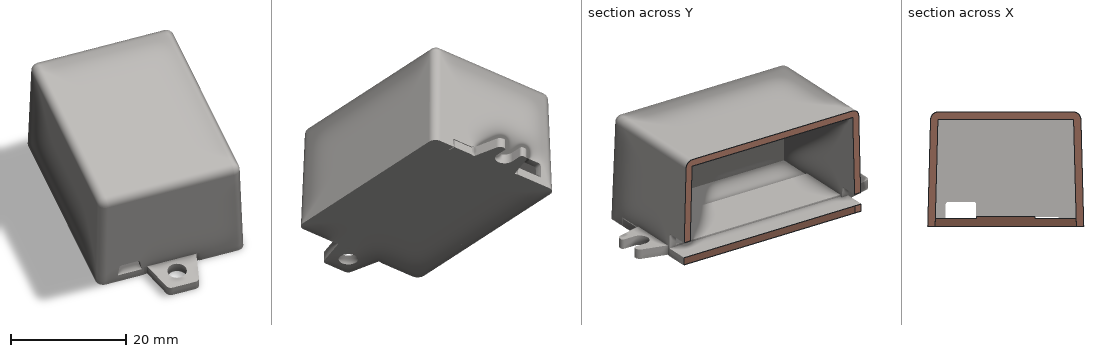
import cadquery as cq
import math

TOTAL_LENGTH = 49.0
HOUSING_WIDTH = 27.2
HOUSING_HEIGHT = 20.0
SLOT_EAR_REACH = 5.25
HOLE_EAR_REACH = 6.25
HOUSING_LENGTH = TOTAL_LENGTH - SLOT_EAR_REACH - HOLE_EAR_REACH

DRAFT_ANGLE = 1.5
EDGE_RADIUS = 1.4
WALL = 1.35

PLATE_THICKNESS = 1.45
EAR_THICKNESS = 1.8
STRIP_WIDTH = 10.2
STRIP_RECESS = 0.1
EAR_ROOT_WIDTH = 9.0
EAR_TAPER_ANGLE = 15.0
EAR_CORNER_RADIUS = 1.0
SCREW_DIAMETER = 3.4
SLOT_CENTRE_SETBACK = 2.55
SLOT_LIP_RADIUS = 0.5
HOLE_CENTRE_SETBACK = 3.6

WINDOW_WIDTH = 5.3
WINDOW_TOP = 4.25
WINDOW_RADIUS = 0.4
TAB_OUTER_Y = 9.05
TAB_CLEARANCE = 0.15

SMALL_WINDOW_SILL_WIDTH = 4.4
SMALL_WINDOW_TOP_WIDTH = 3.7
SMALL_WINDOW_TOP = 3.68
SMALL_WINDOW_RADIUS = 0.5

HALF_LENGTH = HOUSING_LENGTH / 2
HALF_STRIP = STRIP_WIDTH / 2
WINDOW_CENTRE_Y = -(STRIP_WIDTH + WINDOW_WIDTH) / 2
WINDOW_FAR_Y = WINDOW_CENTRE_Y - WINDOW_WIDTH / 2
CUT_DEPTH = 2 * WALL


def block(x_range, y_range, height):
    """Box standing on the bottom plane between two X and two Y positions."""
    length = x_range[1] - x_range[0]
    width = y_range[1] - y_range[0]
    centre = (sum(x_range) / 2, sum(y_range) / 2)
    return cq.Workplane("XY").center(*centre).rect(length, width).extrude(height)


def drafted_block(inset, height):
    """Drafted block whose foot is inset from the foot of the housing."""
    return (
        cq.Workplane("XY")
        .rect(HOUSING_LENGTH - 2 * inset, HOUSING_WIDTH - 2 * inset)
        .extrude(height, taper=DRAFT_ANGLE)
    )


def make_envelope():
    """Outer shape of the housing, rounded on all edges but the foot."""
    return drafted_block(0, HOUSING_HEIGHT).edges("not <Z").fillet(EDGE_RADIUS)


def wall_window(side, sill_width, top_width, top, radius):
    """Cutter for a window through one end wall, with its sill level with the top of the plate."""
    half_sill = sill_width / 2
    half_top = top_width / 2
    start = -HALF_LENGTH if side < 0 else HALF_LENGTH - CUT_DEPTH
    upper = (
        cq.Workplane("YZ", origin=(start, WINDOW_CENTRE_Y, 0))
        .polyline([
            (-half_sill, PLATE_THICKNESS),
            (half_sill, PLATE_THICKNESS),
            (half_top, top),
            (-half_top, top),
        ])
        .close()
        .extrude(CUT_DEPTH)
    )
    return upper.edges(">Z and |X").fillet(radius)


def make_tabs():
    """Tabs of the plate that fill the foot of the -X wall on both sides of the ear."""
    x_range = (-HALF_LENGTH, -HALF_LENGTH + CUT_DEPTH)
    tabs = block(x_range, (HALF_STRIP, TAB_OUTER_Y), PLATE_THICKNESS)
    return tabs.union(block(x_range, (WINDOW_FAR_Y, -HALF_STRIP), PLATE_THICKNESS))


def make_ear(side, reach):
    """Tapered ear on one end, from the end of the strip to its rounded tip."""
    slope = math.tan(math.radians(EAR_TAPER_ANGLE))
    root_x = side * (HALF_LENGTH - STRIP_RECESS)
    tip_x = side * (HALF_LENGTH + reach)
    half_root = EAR_ROOT_WIDTH / 2 + STRIP_RECESS * slope
    half_tip = EAR_ROOT_WIDTH / 2 - reach * slope
    ear = (
        cq.Workplane("XY")
        .polyline([(root_x, -half_root), (tip_x, -half_tip), (tip_x, half_tip), (root_x, half_root)])
        .close()
        .extrude(EAR_THICKNESS)
    )
    tip = ">X" if side > 0 else "<X"
    return ear.edges(f"|Z and {tip}").fillet(EAR_CORNER_RADIUS)


def make_slotted_ear():
    """Ear with a round-ended slot open at its tip."""
    tip_x = -HALF_LENGTH - SLOT_EAR_REACH
    centre_x = tip_x + SLOT_CENTRE_SETBACK
    ear = make_ear(-1, SLOT_EAR_REACH)
    half_slot = SCREW_DIAMETER / 2
    slot = block((tip_x, centre_x), (-half_slot, half_slot), EAR_THICKNESS)
    slot = slot.union(cq.Workplane("XY").center(centre_x, 0).circle(half_slot).extrude(EAR_THICKNESS))
    lips = cq.selectors.BoxSelector(
        (tip_x - SLOT_LIP_RADIUS, -half_slot - SLOT_LIP_RADIUS, 0),
        (tip_x + SLOT_LIP_RADIUS, half_slot + SLOT_LIP_RADIUS, EAR_THICKNESS),
    )
    return ear.cut(slot).edges("|Z").edges(lips).fillet(SLOT_LIP_RADIUS)


def make_drilled_ear():
    """Ear with a round screw hole."""
    centre_x = HALF_LENGTH + HOLE_EAR_REACH - HOLE_CENTRE_SETBACK
    hole = cq.Workplane("XY").center(centre_x, 0).circle(SCREW_DIAMETER / 2).extrude(EAR_THICKNESS)
    return make_ear(1, HOLE_EAR_REACH).cut(hole)


def make_housing(envelope):
    """Hollow cover, open below, with notches for the base and a window in each end wall."""
    cavity = drafted_block(WALL, HOUSING_HEIGHT - WALL)
    strip_notch = block((-HALF_LENGTH, HALF_LENGTH), (-HALF_STRIP, HALF_STRIP), EAR_THICKNESS)
    tab_notch = block(
        (-HALF_LENGTH, -HALF_LENGTH + CUT_DEPTH),
        (HALF_STRIP, TAB_OUTER_Y + TAB_CLEARANCE),
        PLATE_THICKNESS + TAB_CLEARANCE,
    )
    window = wall_window(-1, WINDOW_WIDTH, WINDOW_WIDTH, WINDOW_TOP, WINDOW_RADIUS)
    small_window = wall_window(
        1, SMALL_WINDOW_SILL_WIDTH, SMALL_WINDOW_TOP_WIDTH, SMALL_WINDOW_TOP, SMALL_WINDOW_RADIUS
    )
    housing = envelope.cut(cavity).cut(strip_notch).cut(tab_notch)
    return housing.cut(make_tabs()).cut(window).cut(small_window)


def make_base(envelope):
    """Plate closing the housing, with a raised strip, flush tabs and two ears."""
    plate = drafted_block(WALL, PLATE_THICKNESS)
    tabs = make_tabs().intersect(envelope)
    strip_end = HALF_LENGTH - STRIP_RECESS
    strip = block((-strip_end, strip_end), (-HALF_STRIP, HALF_STRIP), EAR_THICKNESS)
    return plate.union(tabs).union(strip).union(make_slotted_ear()).union(make_drilled_ear())


envelope = make_envelope()
housing = make_housing(envelope)
base = make_base(envelope)

result = cq.Compound.makeCompound([housing.val(), base.val()])